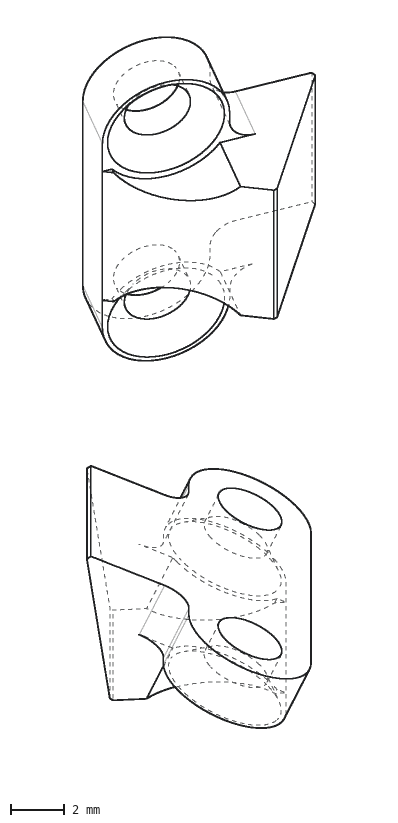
import cadquery as cq

plate_thickness = 2.3
plate_width = 5.0
plate_height = 15.0
hole_spacing = plate_height - plate_width
hole_diameter = 2.6
countersink_diameter = 4.6
countersink_angle = 90.0

block_height = 7.0
wedge_peak = (5.296, 5.83)
wedge_back_corner = (0.0, 9.197)
peak_chamfer = 0.1
back_corner_chamfer = 0.2
inner_fillet_radius = 1.0

head_clearance_diameter = 5.2

hole_y = plate_width / 2
hole_positions = [(hole_y, -hole_spacing / 2), (hole_y, hole_spacing / 2)]


def make_plate():
    """Round-ended plate lying against the YZ plane."""
    return (
        cq.Workplane("YZ")
        .center(hole_y, 0)
        .slot2D(plate_height, plate_width, 90)
        .extrude(plate_thickness)
    )


def make_wedge():
    """Wedge block whose back continues the plate's back face."""
    return (
        cq.Workplane("XY", origin=(0, 0, -block_height / 2))
        .lineTo(plate_thickness, 0)
        .lineTo(*wedge_peak)
        .lineTo(*wedge_back_corner)
        .close()
        .extrude(block_height)
        .edges(cq.selectors.NearestToPointSelector((*wedge_peak, 0)))
        .chamfer(peak_chamfer)
        .edges(cq.selectors.NearestToPointSelector((*wedge_back_corner, 0)))
        .chamfer(back_corner_chamfer)
    )


def make_head_clearance():
    """Cylinders in front of the plate that make room for the screw heads."""
    return (
        cq.Workplane("YZ", origin=(plate_thickness, 0, 0))
        .pushPoints(hole_positions)
        .circle(head_clearance_diameter / 2)
        .extrude(wedge_peak[0])
    )


def make_inner_fillet(side):
    """Concave web between the plate edge and the block; side is +1 (top) or -1."""
    corner_z = side * block_height / 2
    fillet_end_y = plate_width + inner_fillet_radius
    fillet_end_z = corner_z + side * inner_fillet_radius
    web = (
        cq.Workplane("YZ")
        .moveTo(plate_width, corner_z)
        .lineTo(fillet_end_y, corner_z)
        .lineTo(fillet_end_y, fillet_end_z)
        .lineTo(plate_width, fillet_end_z)
        .close()
        .extrude(plate_thickness)
    )
    hollow = (
        cq.Workplane("YZ")
        .center(fillet_end_y, fillet_end_z)
        .circle(inner_fillet_radius)
        .extrude(plate_thickness)
    )
    return web.cut(hollow)


def cut_screw_holes(body):
    """Through holes, countersunk on the front face of the plate."""
    return (
        body.copyWorkplane(cq.Workplane("YZ", origin=(plate_thickness, 0, 0)))
        .pushPoints(hole_positions)
        .cskHole(hole_diameter, countersink_diameter, countersink_angle)
    )


body = make_plate().union(make_wedge().cut(make_head_clearance()))
for side in (1, -1):
    body = body.union(make_inner_fillet(side))
result = cut_screw_holes(body)